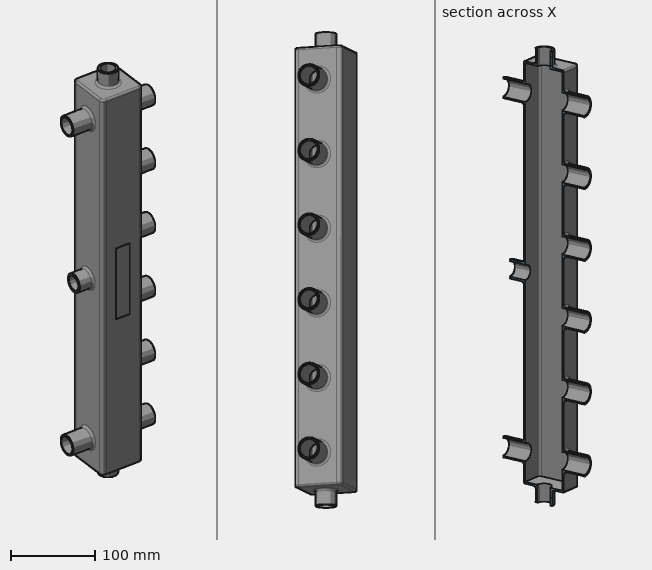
import cadquery as cq

body_width = 60.0
body_length = 530.0
wall = 3.0
corner_radius = 6.0
end_rounding = 2.7
body_half_width = body_width / 2
body_half_length = body_length / 2

branch_diameter = 26.8
branch_bore = 22.0
branch_length = 30.0
branch_chamfer = 0.5
branch_pitch = 90.0
back_branch_count = 6
outer_branch_height = branch_pitch * (back_branch_count - 1) / 2

thread_diameter = 25.0
thread_bore = 18.63
thread_length = 20.0
thread_chamfer = 0.5

weld_radius = 3.0

label_thickness = 0.55
label_width = 20.0
label_length = 100.0


def make_body():
    """Closed tube with rounded long corners and rounded end edges."""
    body = cq.Workplane("XY").box(body_width, body_width, body_length)
    body = body.edges("|Z").fillet(corner_radius)
    return body.faces("<Z or >Z").edges().fillet(end_rounding)


def make_cavity():
    """Inside space of the tube, one wall thickness in from every side."""
    inner_width = body_width - 2 * wall
    cavity = cq.Workplane("XY").box(inner_width, inner_width, body_length - 2 * wall)
    return cavity.edges("|Z").fillet(corner_radius - wall)


def make_label():
    """Flat plate standing label_thickness proud of the +X side, rooted in the wall."""
    root = wall / 2
    plate = cq.Workplane("YZ").workplane(offset=body_half_width - root)
    return plate.rect(label_width, label_length).extrude(root + label_thickness)


def place_on_body(shape, foot, direction):
    """Move a shape built along +Z so that it starts at foot and points along direction."""
    plane = cq.Plane(origin=foot, xDir=(1, 0, 0), normal=direction)
    return cq.Workplane(shape.val().moved(cq.Location(plane)))


def make_pipe(diameter, length, chamfer):
    """Solid pipe blank along +Z with a chamfered tip, a weld seam and a root in the wall."""
    radius = diameter / 2
    profile = (
        cq.Workplane("XZ")
        .moveTo(0, -wall)
        .lineTo(radius, -wall)
        .lineTo(radius, 0)
        .lineTo(radius + weld_radius, 0)
        .radiusArc((radius, weld_radius), weld_radius)
        .lineTo(radius, length - chamfer)
        .lineTo(radius - chamfer, length)
        .lineTo(0, length)
        .close()
    )
    return profile.revolve(360, (0, 0, 0), (0, 1, 0))


def make_bore(diameter, length):
    """Bore along +Z that runs from the cavity through the wall and the whole pipe."""
    return cq.Workplane("XY").workplane(offset=-wall).circle(diameter / 2).extrude(wall + length)


def branch_positions():
    """Foot and direction of every branch pipe."""
    positions = []
    for index in range(back_branch_count):
        height = index * branch_pitch - outer_branch_height
        positions.append(((0, body_half_width, height), (0, 1, 0)))
    for height in (-outer_branch_height, outer_branch_height):
        positions.append(((0, -body_half_width, height), (0, -1, 0)))
    return positions


def thread_positions():
    """Foot and direction of every threaded connection."""
    return [
        ((0, -body_half_width, 0), (0, -1, 0)),
        ((0, 0, -body_half_length), (0, 0, -1)),
        ((0, 0, body_half_length), (0, 0, 1)),
    ]


def add_pipes(body, positions, blank):
    for foot, direction in positions:
        body = body.union(place_on_body(blank, foot, direction))
    return body


def cut_bores(body, positions, bore):
    for foot, direction in positions:
        body = body.cut(place_on_body(bore, foot, direction))
    return body


branch_pipe = make_pipe(branch_diameter, branch_length, branch_chamfer)
thread_pipe = make_pipe(thread_diameter, thread_length, thread_chamfer)

manifold = make_body().union(make_label())
manifold = add_pipes(manifold, branch_positions(), branch_pipe)
manifold = add_pipes(manifold, thread_positions(), thread_pipe)
manifold = manifold.cut(make_cavity())
manifold = cut_bores(manifold, branch_positions(), make_bore(branch_bore, branch_length))
manifold = cut_bores(manifold, thread_positions(), make_bore(thread_bore, thread_length))

result = manifold